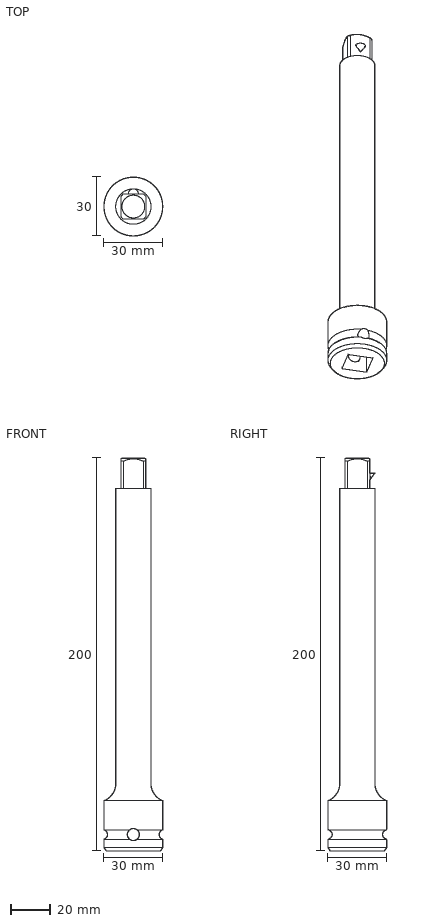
import cadquery as cq
import math

length = 200.0
head_radius = 15.0
shaft_radius = 9.0
shaft_top = 184.5

neck_top = 34.5
neck_fillet = 9.5

mouth_chamfer_height = 1.8
mouth_chamfer_width = 1.2

groove_bottom = 6.0
groove_top = 10.8
groove_depth = 1.8
groove_middle = (groove_bottom + groove_top) / 2
cross_hole_diameter = 6.0

drive_size = 12.8
drive_corner_radius = 8.2
drive_tip_radius = 5.8
drive_tip_height = 1.5
socket_size = 13.0
socket_depth = 16.0

pin_radius = shaft_radius - drive_size / 2
pin_top = 192.5
pin_height = 3.5


def neck_radius(drop):
    """Radius of the flared neck at a distance below its top."""
    return shaft_radius + neck_fillet - math.sqrt(neck_fillet**2 - drop**2)


def make_turned_bar():
    """Head, groove, neck and shaft as one revolved profile."""
    flare = neck_fillet - (head_radius - shaft_radius)
    neck_drop = math.sqrt(neck_fillet**2 - flare**2)
    profile = (
        cq.Workplane("XZ")
        .lineTo(head_radius - mouth_chamfer_width, 0)
        .lineTo(head_radius, mouth_chamfer_height)
        .lineTo(head_radius, groove_bottom)
        .threePointArc((head_radius - groove_depth, groove_middle), (head_radius, groove_top))
        .lineTo(head_radius, neck_top - neck_drop)
        .threePointArc(
            (neck_radius(neck_drop / 2), neck_top - neck_drop / 2),
            (shaft_radius, neck_top),
        )
        .lineTo(shaft_radius, shaft_top)
        .lineTo(0, shaft_top)
        .close()
    )
    return profile.revolve(360, (0, 0, 0), (0, 1, 0))


def make_drive():
    """Square drive trimmed by a round envelope with a conical tip."""
    drive_length = length - shaft_top
    square = (
        cq.Workplane("XY", origin=(0, 0, shaft_top))
        .rect(drive_size, drive_size)
        .extrude(drive_length)
    )
    envelope = (
        cq.Workplane("XZ", origin=(0, 0, shaft_top))
        .lineTo(drive_corner_radius, 0)
        .lineTo(drive_corner_radius, drive_length - drive_tip_height)
        .lineTo(drive_tip_radius, drive_length)
        .lineTo(0, drive_length)
        .close()
        .revolve(360, (0, 0, 0), (0, 1, 0))
    )
    return square.intersect(envelope)


def make_bar():
    """Extension bar with its square socket and cross hole."""
    socket = cq.Workplane("XY").rect(socket_size, socket_size).extrude(socket_depth)
    cross_hole = (
        cq.Workplane("XZ", origin=(0, 0, groove_middle))
        .circle(cross_hole_diameter / 2)
        .extrude(head_radius, both=True)
    )
    return make_turned_bar().union(make_drive()).cut(socket).cut(cross_hole)


def make_pin():
    """Half cone, point down, standing out from the +Y flat of the drive."""
    return (
        cq.Workplane("XZ", origin=(0, drive_size / 2, pin_top))
        .lineTo(pin_radius, 0)
        .lineTo(0, -pin_height)
        .close()
        .revolve(180, (0, 0, 0), (0, 1, 0))
    )


bar = make_bar()
pin = make_pin()
result = cq.Compound.makeCompound([bar.val(), pin.val()])